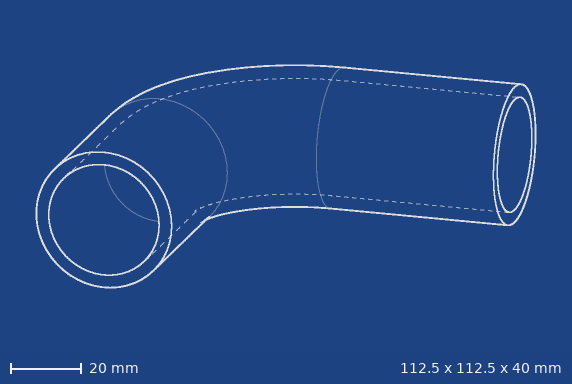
import cadquery as cq
import math

overall_length = 112.5
outer_diameter = 40.0
wall_thickness = 3.7

outer_radius = outer_diameter / 2
inner_radius = outer_radius - wall_thickness
bend_radius = outer_diameter
leg_length = overall_length - bend_radius - outer_radius


def centreline():
    """Straight leg along Y, quarter-circle bend, straight leg along X."""
    bend_middle = (
        bend_radius * (1 - math.cos(math.pi / 4)),
        bend_radius * math.sin(math.pi / 4),
    )
    return (
        cq.Workplane("XY")
        .moveTo(0, -leg_length)
        .lineTo(0, 0)
        .threePointArc(bend_middle, (bend_radius, bend_radius))
        .lineTo(bend_radius + leg_length, bend_radius)
    )


def elbow_pipe():
    """Sweep the ring-shaped pipe section along the centreline."""
    section = (
        cq.Workplane("XZ", origin=(0, -leg_length, 0))
        .circle(outer_radius)
        .circle(inner_radius)
    )
    return section.sweep(centreline())


result = elbow_pipe()